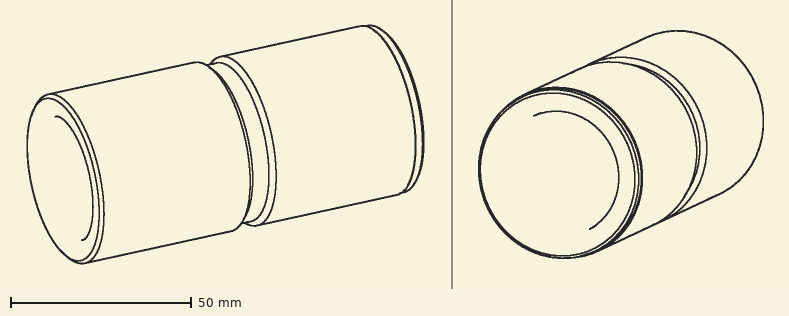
import cadquery as cq

length = 100.0
outer_radius = 24.0
bore_radius = 17.5
bore_rounding = 2.0
front_chamfer = 1.0

pilot_length = 3.0
pilot_radius = outer_radius - 0.3
pilot_chamfer = 0.8

groove_width = 8.0
groove_depth = 1.5

front_y = -length / 2
rear_y = length / 2


def make_body():
    """Revolve the outside outline into a solid bar."""
    groove_edge = groove_width / 2
    groove_floor_edge = groove_edge - groove_depth
    groove_radius = outer_radius - groove_depth
    pilot_start = rear_y - pilot_length
    outline = [
        (0, front_y),
        (outer_radius - front_chamfer, front_y),
        (outer_radius, front_y + front_chamfer),
        (outer_radius, -groove_edge),
        (groove_radius, -groove_floor_edge),
        (groove_radius, groove_floor_edge),
        (outer_radius, groove_edge),
        (outer_radius, pilot_start),
        (pilot_radius, pilot_start),
        (pilot_radius, rear_y - pilot_chamfer),
        (pilot_radius - pilot_chamfer, rear_y),
        (0, rear_y),
    ]
    return cq.Workplane("XY").polyline(outline).close().revolve(360, (0, 0, 0), (0, 1, 0))


def make_bore():
    """Bore cutter that flares to a convex rounding at both mouths."""
    mouth_radius = bore_radius + bore_rounding
    arc_offset = bore_rounding / 2**0.5
    front_tangent_y = front_y + bore_rounding
    rear_tangent_y = rear_y - bore_rounding
    return (
        cq.Workplane("XY")
        .moveTo(0, front_y)
        .lineTo(mouth_radius, front_y)
        .threePointArc(
            (mouth_radius - arc_offset, front_tangent_y - arc_offset),
            (bore_radius, front_tangent_y),
        )
        .lineTo(bore_radius, rear_tangent_y)
        .threePointArc(
            (mouth_radius - arc_offset, rear_tangent_y + arc_offset),
            (mouth_radius, rear_y),
        )
        .lineTo(0, rear_y)
        .close()
        .revolve(360, (0, 0, 0), (0, 1, 0))
    )


result = make_body().cut(make_bore())